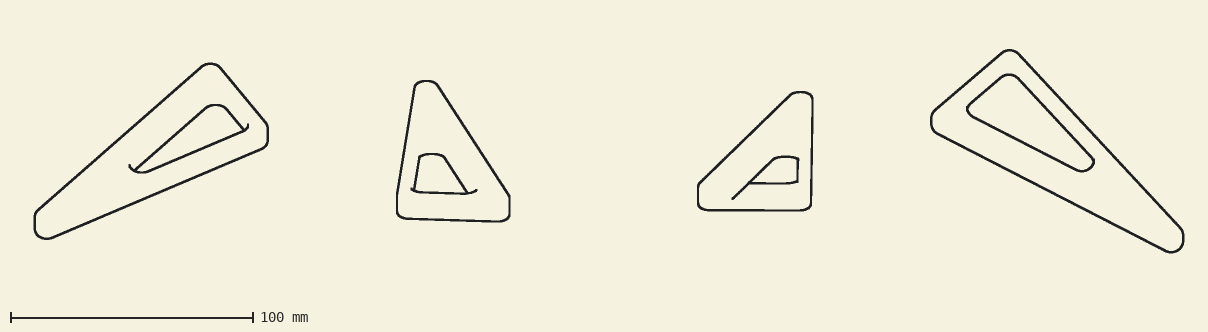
import cadquery as cq
import math

length = 116.8
width = 44.5
thickness = 11.0

corner_radius = 5.0
edge_radius = 2.0

window_left = 11.5
window_bottom = 48.0
window_top = 106.2

center_span_x = width - 2 * corner_radius
center_span_y = length - 2 * corner_radius
tip_angle = math.asin(2 * center_span_x / center_span_y) / 2


def rounded_triangle(left, bottom, top, height):
    """Right-triangular prism with rounded corners, its hypotenuse along Y at x = left."""
    center_x = left + corner_radius
    low_y = bottom + corner_radius
    high_y = top - corner_radius
    long_leg = (high_y - low_y) * math.cos(tip_angle)
    square_corner = (
        center_x + long_leg * math.sin(tip_angle),
        low_y + long_leg * math.cos(tip_angle),
    )
    centers = [(center_x, low_y), square_corner, (center_x, high_y)]
    return (
        cq.Workplane("XY")
        .polyline(centers)
        .close()
        .offset2D(corner_radius, "arc")
        .extrude(height)
    )


plate = rounded_triangle(0, 0, length, thickness)
window = rounded_triangle(window_left, window_bottom, window_top, thickness)

result = plate.cut(window).faces("|Z").edges().fillet(edge_radius)